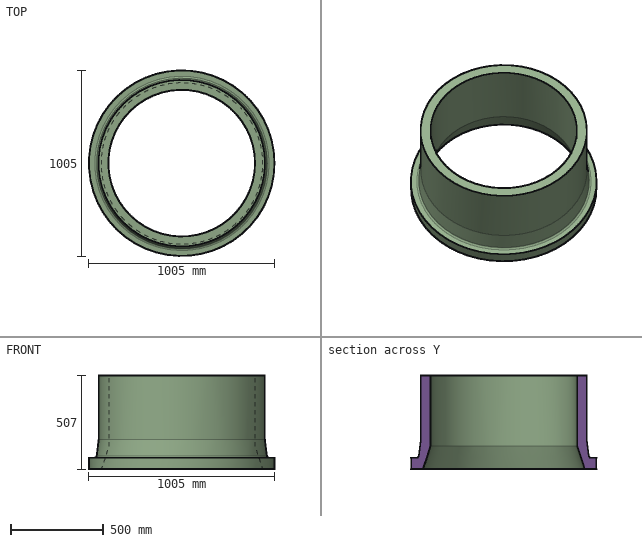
import cadquery as cq

total_height = 507.0
pipe_outer_radius = 450.0
bore_radius = 396.0

mouth_radius = 437.0
flare_height = 125.0

flange_radius = 502.5
flange_height = 62.0

hub_top_height = 162.0
hub_base_radius = 462.5
hub_fillet_radius = 10.0


def revolved_stub():
    """Flanged pipe end with a flared bore, without the hub fillet, revolved about Z."""
    profile = (
        cq.Workplane("XZ")
        .moveTo(mouth_radius, 0)
        .lineTo(flange_radius, 0)
        .lineTo(flange_radius, flange_height)
        .lineTo(hub_base_radius, flange_height)
        .lineTo(pipe_outer_radius, hub_top_height)
        .lineTo(pipe_outer_radius, total_height)
        .lineTo(bore_radius, total_height)
        .lineTo(bore_radius, flare_height)
        .close()
    )
    return profile.revolve(360, (0, 0, 0), (0, 1, 0))


def fillet_hub_base(body):
    """Round the inner corner where the hub meets the flange face."""
    circle_radii = sorted([mouth_radius, bore_radius, pipe_outer_radius, hub_base_radius, flange_radius])
    hub_corner = cq.selectors.RadiusNthSelector(circle_radii.index(hub_base_radius))
    return body.edges("%CIRCLE").edges(hub_corner).fillet(hub_fillet_radius)


result = fillet_hub_base(revolved_stub())